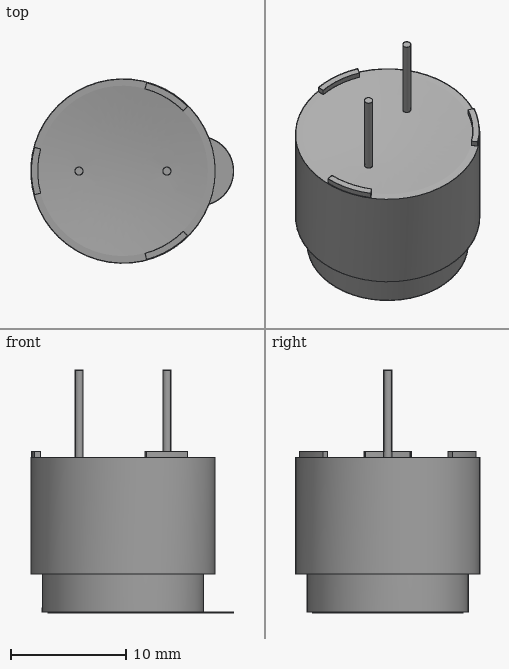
import cadquery as cq
import math

total_height = 21.05
label_thickness = 0.06
step_height = 3.37
body_top = 13.5

body_diameter = 16.0
neck_diameter = 14.0

dish_radius = 7.39
dish_depth = 0.57

standoff_outer_radius = 7.94
standoff_height = 0.53
standoff_span = 30.0
standoff_angles = (60, 180, 300)

pin_diameter = 0.7
pin_pitch = 7.62

label_diameter = 13.05
tab_radius = 3.0
tab_reach = 9.6


def make_body():
    """Neck under a wider cylinder, turned in one piece with the dished top."""
    dish_sphere_radius = (dish_radius**2 + dish_depth**2) / (2 * dish_depth)
    mid_radius = dish_radius / 2
    mid_drop = math.sqrt(dish_sphere_radius**2 - mid_radius**2) - (dish_sphere_radius - dish_depth)
    return (
        cq.Workplane("XZ")
        .moveTo(0, label_thickness)
        .lineTo(neck_diameter / 2, label_thickness)
        .lineTo(neck_diameter / 2, step_height)
        .lineTo(body_diameter / 2, step_height)
        .lineTo(body_diameter / 2, body_top)
        .lineTo(dish_radius, body_top)
        .threePointArc((mid_radius, body_top - mid_drop), (0, body_top - dish_depth))
        .close()
        .revolve(360, (0, 0, 0), (0, 1, 0))
    )


def make_standoff(center_angle):
    """Ring segment standing on the rim, centred on the given angle."""

    def point(radius, offset):
        angle = math.radians(center_angle + offset)
        return (radius * math.cos(angle), radius * math.sin(angle))

    half_span = standoff_span / 2
    return (
        cq.Workplane("XY", origin=(0, 0, body_top))
        .moveTo(*point(dish_radius, -half_span))
        .lineTo(*point(standoff_outer_radius, -half_span))
        .threePointArc(point(standoff_outer_radius, 0), point(standoff_outer_radius, half_span))
        .lineTo(*point(dish_radius, half_span))
        .threePointArc(point(dish_radius, 0), point(dish_radius, -half_span))
        .close()
        .extrude(standoff_height)
    )


def make_pins():
    """Two pins rooted below the dished surface."""
    pin_base = body_top - 2 * dish_depth
    return (
        cq.Workplane("XY", origin=(0, 0, pin_base))
        .pushPoints([(-pin_pitch / 2, 0), (pin_pitch / 2, 0)])
        .circle(pin_diameter / 2)
        .extrude(total_height - pin_base)
    )


def make_label():
    """Thin disc under the neck with its pull tab towards +X."""
    disc = cq.Workplane("XY").circle(label_diameter / 2).extrude(label_thickness)
    tab = (
        cq.Workplane("XY")
        .center(tab_reach - tab_radius, 0)
        .circle(tab_radius)
        .extrude(label_thickness)
    )
    return disc.union(tab)


result = make_body().union(make_pins()).union(make_label())
for angle in standoff_angles:
    result = result.union(make_standoff(angle))